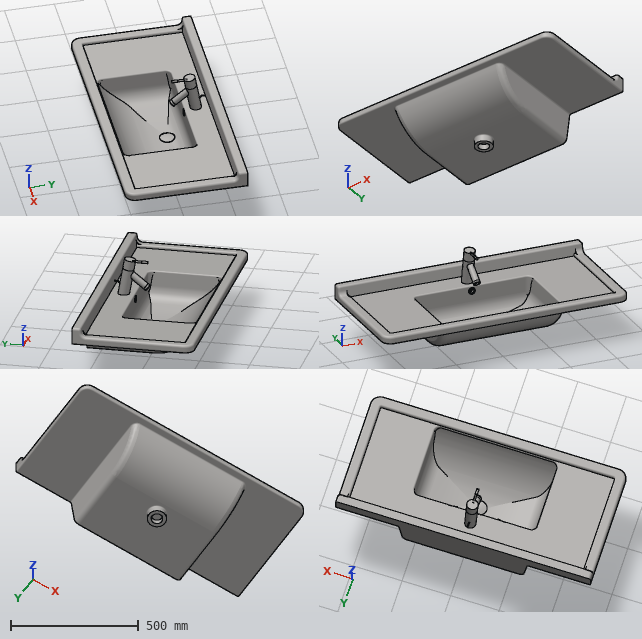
import cadquery as cq
import math


SLAB_WIDTH = 1050.0
SLAB_DEPTH = 485.0
SLAB_THICKNESS = 32.0
SLAB_CORNER_RADIUS = 40.0
RIM_EDGE_RADIUS = 10.0
UNDERSIDE_EDGE_RADIUS = 7.0
RIM_WIDTH = 35.0
LIP_RADIUS = 8.0
DECK_Z = -11.0
DECK_CORNER_RADIUS = 5.0
DECK_INSET = RIM_WIDTH + LIP_RADIUS

SPLASH_HEIGHT = 36.0
SPLASH_TOP_DEPTH = 34.5
SPLASH_FOOT_DEPTH = 42.0
SPLASH_EDGE_RADIUS = 8.0
SPLASH_RIM_RADIUS = 20.0

BOWL_BOTTOM_Z = -160.0
BOWL_TOP_HALF_WIDTH = 265.0
BOWL_BOTTOM_HALF_WIDTH = 248.0
BOWL_FLAT_DEPTH = 263.0
BOWL_FRONT_RADIUS = 205.0
BOWL_EDGE_RADIUS = 25.0
BOWL_JOINT_RADIUS = 6.0

DRAIN_Y = -209.0
FLOOR_Z = -147.0
OPENING_BACK_Y = -141.0
OPENING_FRONT_Y = -436.0
OPENING_HALF_WIDTH = 252.0
OPENING_CORNER_RADIUS = 22.0
OPENING_LIP_RADIUS = 6.0
MOUTH_Z = DECK_Z - OPENING_LIP_RADIUS
LIP_FILLET_SHARE = 0.999
FLOOR_SIDE_RADIUS = 910.0
FLOOR_SIDE_DROP = 0.5
FLOOR_SIDE_FILLET = 60.0
WALL_DRAFT = 4.0

BOSS_DIAMETER = 75.0
BOSS_BOTTOM_Z = -190.0
BOSS_JOINT_RADIUS = 5.0
DRAIN_HOLE_DIAMETER = 45.0
PLUG_DIAMETER = 60.0
PLUG_SEAT_Z = -152.0
PLUG_EDGE_Z = -144.0
PLUG_CROWN_Z = -140.0
PLUG_STEM_Z = -165.0

OVERFLOW_Z = -32.0
OVERFLOW_FLANGE_DIAMETER = 28.0
OVERFLOW_FLANGE_THICKNESS = 2.0
OVERFLOW_TUBE_DIAMETER = 20.0
OVERFLOW_BORE_DIAMETER = 16.0
OVERFLOW_TUBE_LENGTH = 15.0
OVERFLOW_PASSAGE_LENGTH = 30.0

TAP_DIAMETER = 45.0
TAP_TILT = 10.0
TAP_BASE_Y = -94.5
TOTAL_HEIGHT = 327.37
TAP_TOP_Z = BOSS_BOTTOM_Z + TOTAL_HEIGHT
CAP_LENGTH = 40.0

SPOUT_DIAMETER = 28.0
SPOUT_SLOPE = 38.0
SPOUT_END_Y = -190.6
SPOUT_END_Z = 19.6
SPOUT_LENGTH = 100.0

AERATOR_DIAMETER = 20.0
AERATOR_BORE_DIAMETER = 15.0
AERATOR_DEPTH = 10.0
AERATOR_BORE_DEPTH = 6.0
AERATOR_PROJECTION = 1.5

LEVER_DIAMETER = 8.0
LEVER_TIP_DIAMETER = 9.37
LEVER_Z = 125.7
LEVER_ROOT_Y = -130.0
LEVER_TIP_START_Y = -167.0
LEVER_END_Y = -190.0

KNOB_DIAMETER = 4.0
KNOB_END_Y = -57.0
KNOB_BEND_Y = -71.0
KNOB_Z = 38.0
KNOB_ROOT_Y = -84.0
KNOB_ROOT_Z = 25.0

PICK_MARGIN = 1.0
HALF_WIDTH = SLAB_WIDTH / 2
SPLASH_LEAN = (SPLASH_FOOT_DEPTH - SPLASH_TOP_DEPTH) / (SPLASH_HEIGHT - DECK_Z)


def splash_face_y(z):
    """Y of the leaning front face of the backsplash at height z."""
    return -SPLASH_TOP_DEPTH - (SPLASH_HEIGHT - z) * SPLASH_LEAN


def extrude_along_x(profile, x_start, x_end):
    """Extrude a profile drawn on the YZ plane from x_start to x_end."""
    return profile.extrude(x_end - x_start).translate((x_start, 0, 0))


def rod(start, direction, diameter, length):
    """Round bar from a start point along a direction."""
    plane = cq.Plane(origin=start, xDir=(1, 0, 0), normal=direction)
    return cq.Workplane(plane).circle(diameter / 2).extrude(length)


def make_slab():
    slab = (
        cq.Workplane("XY")
        .box(SLAB_WIDTH, SLAB_DEPTH, SLAB_THICKNESS, centered=(True, False, False))
        .translate((0, -SLAB_DEPTH, -SLAB_THICKNESS))
        .edges("|Z and <Y")
        .fillet(SLAB_CORNER_RADIUS)
    )
    recess_depth = SLAB_DEPTH - DECK_INSET
    recess = (
        cq.Workplane("XY")
        .box(SLAB_WIDTH - 2 * DECK_INSET, recess_depth, -DECK_Z, centered=(True, False, False))
        .translate((0, -recess_depth, DECK_Z))
        .edges("|Z and <Y")
        .fillet(DECK_CORNER_RADIUS)
    )
    lip_edges = cq.selectors.BoxSelector(
        (-HALF_WIDTH + RIM_WIDTH, -SLAB_DEPTH + RIM_WIDTH, -PICK_MARGIN),
        (HALF_WIDTH - RIM_WIDTH, -PICK_MARGIN, PICK_MARGIN),
    )
    return slab.cut(recess).edges(lip_edges).fillet(LIP_RADIUS)


def make_splash():
    profile = (
        cq.Workplane("YZ")
        .moveTo(0, -SLAB_THICKNESS)
        .lineTo(0, SPLASH_HEIGHT)
        .lineTo(-SPLASH_TOP_DEPTH, SPLASH_HEIGHT)
        .lineTo(-SPLASH_FOOT_DEPTH, DECK_Z)
        .lineTo(-SPLASH_FOOT_DEPTH, -SLAB_THICKNESS)
        .close()
    )
    return extrude_along_x(profile, -HALF_WIDTH, HALF_WIDTH)


def make_splash_cove(x_start, x_end):
    """Concave run-up from the rim to the backsplash face."""
    lean = math.atan(SPLASH_LEAN)
    tangent_length = SPLASH_RIM_RADIUS * math.tan((math.pi / 2 - lean) / 2)
    foot_y = splash_face_y(0)
    arc_start_y = foot_y - tangent_length
    arc_end_y = foot_y + tangent_length * math.sin(lean)
    arc_end_z = tangent_length * math.cos(lean)
    profile = (
        cq.Workplane("YZ")
        .moveTo(arc_start_y, 0)
        .radiusArc((arc_end_y, arc_end_z), -SPLASH_RIM_RADIUS)
        .lineTo(-SPLASH_TOP_DEPTH / 2, arc_end_z)
        .lineTo(-SPLASH_TOP_DEPTH / 2, -LIP_RADIUS)
        .lineTo(arc_start_y, -LIP_RADIUS)
        .close()
    )
    return extrude_along_x(profile, x_start, x_end)


def make_bowl_outside():
    drop = -BOWL_BOTTOM_Z
    front_depth = BOWL_FLAT_DEPTH + math.sqrt(
        BOWL_FRONT_RADIUS**2 - (BOWL_FRONT_RADIUS - drop + SLAB_THICKNESS / 2) ** 2
    )
    side = (
        cq.Workplane("YZ")
        .moveTo(0, -SLAB_THICKNESS / 2)
        .lineTo(0, BOWL_BOTTOM_Z)
        .lineTo(-BOWL_FLAT_DEPTH, BOWL_BOTTOM_Z)
        .radiusArc((-front_depth, -SLAB_THICKNESS / 2), BOWL_FRONT_RADIUS)
        .close()
    )
    bowl = extrude_along_x(side, -HALF_WIDTH, HALF_WIDTH)
    slope = (BOWL_TOP_HALF_WIDTH - BOWL_BOTTOM_HALF_WIDTH) / (drop - SLAB_THICKNESS)
    top_half = BOWL_TOP_HALF_WIDTH + slope * SLAB_THICKNESS / 2
    front = (
        cq.Workplane("XZ")
        .polyline([
            (-top_half, -SLAB_THICKNESS / 2),
            (top_half, -SLAB_THICKNESS / 2),
            (BOWL_BOTTOM_HALF_WIDTH, BOWL_BOTTOM_Z),
            (-BOWL_BOTTOM_HALF_WIDTH, BOWL_BOTTOM_Z),
        ])
        .close()
        .extrude(SLAB_DEPTH)
    )
    lower_side_edges = cq.selectors.BoxSelector(
        (-HALF_WIDTH, -SLAB_DEPTH, BOWL_BOTTOM_Z - PICK_MARGIN),
        (-BOWL_BOTTOM_HALF_WIDTH + BOWL_EDGE_RADIUS, -PICK_MARGIN, -SLAB_THICKNESS),
    )
    lower_side_edges += cq.selectors.BoxSelector(
        (BOWL_BOTTOM_HALF_WIDTH - BOWL_EDGE_RADIUS, -SLAB_DEPTH, BOWL_BOTTOM_Z - PICK_MARGIN),
        (HALF_WIDTH, -PICK_MARGIN, -SLAB_THICKNESS),
    )
    return bowl.intersect(front).edges(lower_side_edges).fillet(BOWL_EDGE_RADIUS)


def opening_prism(top_z, height):
    """Round-cornered block that fills the opening downwards from top_z."""
    return (
        cq.Workplane("XY", origin=(0, (OPENING_BACK_Y + OPENING_FRONT_Y) / 2, top_z))
        .rect(2 * OPENING_HALF_WIDTH, OPENING_BACK_Y - OPENING_FRONT_Y)
        .extrude(-height)
        .edges("|Z")
        .fillet(OPENING_CORNER_RADIUS)
    )


def make_opening_mouth():
    """Flared top of the opening; its sides leave a rounded lip in the deck."""
    plate_blank = (
        cq.Workplane("XY", origin=(0, (OPENING_BACK_Y + OPENING_FRONT_Y) / 2, DECK_Z))
        .rect(
            2 * (OPENING_HALF_WIDTH + OPENING_CORNER_RADIUS),
            OPENING_BACK_Y - OPENING_FRONT_Y + 2 * OPENING_CORNER_RADIUS,
        )
        .extrude(-OPENING_LIP_RADIUS)
    )
    hole = opening_prism(DECK_Z, OPENING_LIP_RADIUS)
    hole_edges = cq.selectors.BoxSelector(
        (-OPENING_HALF_WIDTH - PICK_MARGIN, OPENING_FRONT_Y - PICK_MARGIN, DECK_Z - PICK_MARGIN),
        (OPENING_HALF_WIDTH + PICK_MARGIN, OPENING_BACK_Y + PICK_MARGIN, DECK_Z + PICK_MARGIN),
    )
    lip_plate = plate_blank.cut(hole).edges(hole_edges).fillet(OPENING_LIP_RADIUS * LIP_FILLET_SHARE)
    return plate_blank.cut(lip_plate)


def make_bowl_cavity():
    """Hollow whose floor falls to the drain from the back, the front and both sides."""
    back_radius = OPENING_BACK_Y - DRAIN_Y
    rise = MOUTH_Z - FLOOR_Z
    front_reach = DRAIN_Y - OPENING_FRONT_Y
    front_radius = (front_reach**2 + rise**2) / (2 * rise)
    side_view = (
        cq.Workplane("YZ")
        .moveTo(OPENING_BACK_Y, MOUTH_Z)
        .lineTo(OPENING_BACK_Y, FLOOR_Z + back_radius)
        .radiusArc((DRAIN_Y, FLOOR_Z), back_radius)
        .radiusArc((OPENING_FRONT_Y, MOUTH_Z), front_radius)
        .close()
    )
    cavity = extrude_along_x(side_view, -HALF_WIDTH, HALF_WIDTH)

    low_z = FLOOR_Z - FLOOR_SIDE_DROP
    floor_half = OPENING_HALF_WIDTH - rise * math.tan(math.radians(WALL_DRAFT))
    edge_z = low_z + FLOOR_SIDE_RADIUS - math.sqrt(FLOOR_SIDE_RADIUS**2 - floor_half**2)
    front_view = (
        cq.Workplane("XZ")
        .moveTo(-OPENING_HALF_WIDTH, MOUTH_Z)
        .lineTo(-floor_half, edge_z)
        .threePointArc((0, low_z), (floor_half, edge_z))
        .lineTo(OPENING_HALF_WIDTH, MOUTH_Z)
        .close()
        .extrude(SLAB_DEPTH)
        .edges("|Y and (not >Z)")
        .fillet(FLOOR_SIDE_FILLET)
    )
    return cavity.intersect(front_view).intersect(opening_prism(MOUTH_Z, MOUTH_Z - BOWL_BOTTOM_Z))


def revolve_about_drain(profile):
    """Revolve a half profile drawn in radius and height about the drain axis."""
    return profile.close().revolve().translate((0, DRAIN_Y, 0))


def make_drain_boss():
    boss = BOSS_DIAMETER / 2
    flare = boss + BOSS_JOINT_RADIUS
    profile = (
        cq.Workplane("XZ")
        .moveTo(0, PLUG_SEAT_Z)
        .lineTo(flare, PLUG_SEAT_Z)
        .lineTo(flare, BOWL_BOTTOM_Z)
        .radiusArc((boss, BOWL_BOTTOM_Z - BOSS_JOINT_RADIUS), -BOSS_JOINT_RADIUS)
        .lineTo(boss, BOSS_BOTTOM_Z)
        .lineTo(0, BOSS_BOTTOM_Z)
    )
    return revolve_about_drain(profile)


def make_basin():
    basin = make_slab().union(make_splash())
    for x_start in (-HALF_WIDTH, HALF_WIDTH - RIM_WIDTH):
        basin = basin.union(make_splash_cove(x_start, x_start + RIM_WIDTH))
    basin = basin.clean()

    splash_top_edge = cq.selectors.BoxSelector(
        (-PICK_MARGIN, -SPLASH_TOP_DEPTH - PICK_MARGIN, SPLASH_HEIGHT - PICK_MARGIN),
        (PICK_MARGIN, -SPLASH_TOP_DEPTH + PICK_MARGIN, SPLASH_HEIGHT + PICK_MARGIN),
    )
    basin = basin.edges(splash_top_edge).fillet(SPLASH_EDGE_RADIUS)
    basin = basin.faces("<X").edges("not(<Z or >Y or <Y)").fillet(RIM_EDGE_RADIUS)
    basin = basin.faces("<Z").edges("not >Y").fillet(UNDERSIDE_EDGE_RADIUS)

    basin = basin.union(make_bowl_outside())
    joint_half = BOWL_TOP_HALF_WIDTH + PICK_MARGIN
    joint_front_y = -SLAB_DEPTH + UNDERSIDE_EDGE_RADIUS + PICK_MARGIN
    joint_edges = cq.selectors.BoxSelector(
        (-joint_half, joint_front_y, -SLAB_THICKNESS - PICK_MARGIN),
        (joint_half, -PICK_MARGIN, -SLAB_THICKNESS + PICK_MARGIN),
    )
    basin = basin.edges(joint_edges).fillet(BOWL_JOINT_RADIUS)

    basin = basin.cut(make_bowl_cavity()).cut(make_opening_mouth())
    return basin.union(make_drain_boss())


def make_plug():
    """Domed plug whose stem stands in the drain hole."""
    seat_radius = PLUG_DIAMETER / 2
    stem_radius = DRAIN_HOLE_DIAMETER / 2
    crown = PLUG_CROWN_Z - PLUG_EDGE_Z
    dome_radius = (seat_radius**2 + crown**2) / (2 * crown)
    profile = (
        cq.Workplane("XZ")
        .moveTo(0, PLUG_CROWN_Z)
        .radiusArc((seat_radius, PLUG_EDGE_Z), dome_radius)
        .lineTo(seat_radius, PLUG_SEAT_Z)
        .lineTo(stem_radius, PLUG_SEAT_Z)
        .lineTo(stem_radius, PLUG_STEM_Z)
        .lineTo(0, PLUG_STEM_Z)
    )
    return revolve_about_drain(profile)


def make_drain_passage():
    start = (0, DRAIN_Y, BOSS_BOTTOM_Z)
    return rod(start, (0, 0, 1), DRAIN_HOLE_DIAMETER, PLUG_SEAT_Z - BOSS_BOTTOM_Z)


def make_plug_recess():
    """Round seat that clears the floor above the plug."""
    start = (0, DRAIN_Y, PLUG_SEAT_Z)
    return rod(start, (0, 0, 1), PLUG_DIAMETER, PLUG_CROWN_Z - PLUG_SEAT_Z)


def make_overflow_ring():
    """Flanged sleeve in the back wall of the bowl."""
    towards_bowl = (0, -1, 0)
    tube_end = (0, OPENING_BACK_Y + OVERFLOW_TUBE_LENGTH, OVERFLOW_Z)
    tube_length = OVERFLOW_TUBE_LENGTH + OVERFLOW_FLANGE_THICKNESS
    flange_back = (0, OPENING_BACK_Y, OVERFLOW_Z)
    ring = rod(tube_end, towards_bowl, OVERFLOW_TUBE_DIAMETER, tube_length)
    flange = rod(flange_back, towards_bowl, OVERFLOW_FLANGE_DIAMETER, OVERFLOW_FLANGE_THICKNESS)
    ring = ring.union(flange)
    return ring.cut(rod(tube_end, towards_bowl, OVERFLOW_BORE_DIAMETER, tube_length))


def make_overflow_passage():
    start = (0, OPENING_BACK_Y + OVERFLOW_PASSAGE_LENGTH, OVERFLOW_Z)
    return rod(start, (0, -1, 0), OVERFLOW_TUBE_DIAMETER, OVERFLOW_PASSAGE_LENGTH)


TILT = math.radians(TAP_TILT)
TAP_AXIS = (0, -math.sin(TILT), math.cos(TILT))
TAP_LENGTH = (TAP_TOP_Z - DECK_Z - TAP_DIAMETER / 2 * math.sin(TILT)) / math.cos(TILT)
BODY_LENGTH = TAP_LENGTH - CAP_LENGTH


def tap_point(distance):
    """Point on the tap axis at a distance above the deck."""
    return (0, TAP_BASE_Y + TAP_AXIS[1] * distance, DECK_Z + TAP_AXIS[2] * distance)


SLOPE = math.radians(SPOUT_SLOPE)
SPOUT_AXIS = (0, -math.cos(SLOPE), -math.sin(SLOPE))


def spout_point(distance):
    """Point on the spout axis at a distance back from its end."""
    return (0, SPOUT_END_Y - SPOUT_AXIS[1] * distance, SPOUT_END_Z - SPOUT_AXIS[2] * distance)


def make_tap_body():
    """Leaning column with its spout; the column foot is trimmed level with the deck."""
    foot_allowance = TAP_DIAMETER / 2
    body = rod(tap_point(-foot_allowance), TAP_AXIS, TAP_DIAMETER, BODY_LENGTH + foot_allowance)
    below_deck = (
        cq.Workplane("XY", origin=(0, TAP_BASE_Y, DECK_Z))
        .rect(2 * TAP_DIAMETER, 2 * TAP_DIAMETER)
        .extrude(-2 * TAP_DIAMETER)
    )
    body = body.cut(below_deck)
    body = body.union(rod(spout_point(SPOUT_LENGTH), SPOUT_AXIS, SPOUT_DIAMETER, SPOUT_LENGTH))
    socket = rod(spout_point(AERATOR_DEPTH), SPOUT_AXIS, AERATOR_DIAMETER, AERATOR_DEPTH)
    return body.cut(socket)


def make_aerator():
    length = AERATOR_DEPTH + AERATOR_PROJECTION
    aerator = rod(spout_point(AERATOR_DEPTH), SPOUT_AXIS, AERATOR_DIAMETER, length)
    bore_start = spout_point(AERATOR_BORE_DEPTH)
    return aerator.cut(rod(bore_start, SPOUT_AXIS, AERATOR_BORE_DIAMETER, length))


def make_tap_cap():
    return rod(tap_point(BODY_LENGTH), TAP_AXIS, TAP_DIAMETER, CAP_LENGTH)


def make_lever():
    """Straight rod with a thicker tip; its root stands in the cap."""
    forward = (0, -1, 0)
    rod_length = LEVER_ROOT_Y - LEVER_TIP_START_Y
    lever = rod((0, LEVER_ROOT_Y, LEVER_Z), forward, LEVER_DIAMETER, rod_length)
    tip_length = LEVER_TIP_START_Y - LEVER_END_Y
    return lever.union(rod((0, LEVER_TIP_START_Y, LEVER_Z), forward, LEVER_TIP_DIAMETER, tip_length))


def make_knob():
    """Bent pull rod behind the column; its root stands in the column."""
    path = (
        cq.Workplane("YZ")
        .moveTo(KNOB_END_Y, KNOB_Z)
        .lineTo(KNOB_BEND_Y, KNOB_Z)
        .lineTo(KNOB_ROOT_Y, KNOB_ROOT_Z)
    )
    start = cq.Plane(origin=(0, KNOB_END_Y, KNOB_Z), xDir=(1, 0, 0), normal=(0, -1, 0))
    return cq.Workplane(start).circle(KNOB_DIAMETER / 2).sweep(path, transition="round")


basin = make_basin().cut(make_plug_recess()).cut(make_drain_passage()).cut(make_overflow_passage())
plug = make_plug()
overflow_ring = make_overflow_ring()
lever = make_lever()
knob = make_knob()
tap_cap = make_tap_cap().cut(lever)
tap_body = make_tap_body().cut(knob)
aerator = make_aerator()

bodies = [basin, plug, overflow_ring, tap_body, aerator, tap_cap, lever, knob]
result = cq.Compound.makeCompound([body.val() for body in bodies])